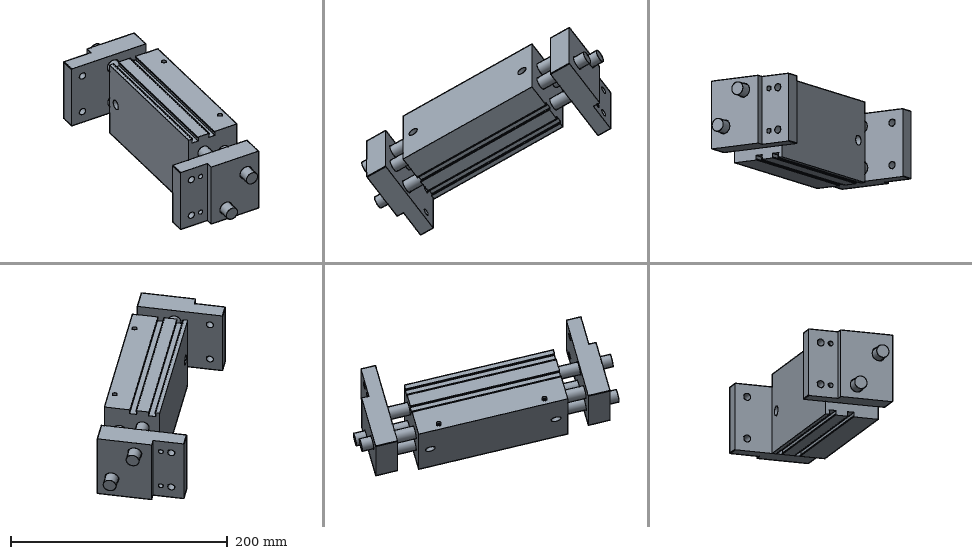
import cadquery as cq
import math

TOTAL_LENGTH = 245.0
TOTAL_DEPTH = 81.0

FULL_TURN = 360
HALF_TURN = FULL_TURN / 2

HOUSING_LENGTH = 142.3
HOUSING_DEPTH = 52.0
HOUSING_HEIGHT = 76.0
HOUSING_BACK_Y = HOUSING_DEPTH / 2
HOUSING_FRONT_Y = -HOUSING_DEPTH / 2

MOUNT_HOLE_DIAMETER = 9.0
MOUNT_HOLE_SPACING = 120.0

PORT_DIAMETER = 4.5
PORT_THREAD_DEPTH = 5.0
PORT_BORE_DIAMETER = 3.0
PORT_DEPTH = 7.4
PORT_SETBACK = 6.0
PORT_SPACING = 101.0
PORT_Y = HOUSING_BACK_Y - PORT_SETBACK

SLOT_MOUTH = 5.5
SLOT_WIDTH = 6.5
SLOT_LIP = 1.0
SLOT_DEPTH = 4.5
SLOT_OFFSETS = [7.0, 25.0]
SLOT_CENTRES_Y = [HOUSING_FRONT_Y + offset for offset in SLOT_OFFSETS]

ROD_DIAMETER = 12.0
ROD_CLEARANCE_DIAMETER = 13.0
FRONT_ROD_OFFSET = 16.0
FRONT_ROD_Y = HOUSING_FRONT_Y + FRONT_ROD_OFFSET
FRONT_ROD_Z = 19.5
BACK_ROD_OFFSET = 37.5
BACK_ROD_Y = HOUSING_FRONT_Y + BACK_ROD_OFFSET
BACK_ROD_Z = -12.5
RODS_OF_RIGHT_FINGER = [(FRONT_ROD_Y, FRONT_ROD_Z), (BACK_ROD_Y, BACK_ROD_Z)]
RODS_OF_LEFT_FINGER = [(y, -z) for y, z in RODS_OF_RIGHT_FINGER]
ALL_RODS = RODS_OF_RIGHT_FINGER + RODS_OF_LEFT_FINGER

FINGER_GAP = 19.8
FINGER_THICKNESS = 20.8
ARM_THICKNESS = 14.0
FINGER_HEIGHT = 64.0
FINGER_SETBACK = 0.7
FINGER_CHAMFER = 0.5
FINGER_INNER_X = HOUSING_LENGTH / 2 + FINGER_GAP
FINGER_OUTER_X = FINGER_INNER_X + FINGER_THICKNESS
ARM_OUTER_X = FINGER_INNER_X + ARM_THICKNESS
FINGER_BACK_Y = HOUSING_BACK_Y - FINGER_SETBACK
ARM_TIP_Y = HOUSING_BACK_Y - TOTAL_DEPTH

ARM_HOLE_SPACING = 40.0
THROUGH_HOLE_DIAMETER = 6.5
THROUGH_HOLE_OFFSET = 17.2
THROUGH_HOLE_Y = HOUSING_FRONT_Y - THROUGH_HOLE_OFFSET
TAPPED_HOLE_DIAMETER = 4.5
TAPPED_HOLE_DEPTH = 7.4
TAPPED_HOLE_OFFSET = 7.4
TAPPED_HOLE_Y = HOUSING_FRONT_Y - TAPPED_HOLE_OFFSET
DRILL_POINT_ANGLE = 118.0


def x_cylinders(diameter, start_x, end_x, points):
    """Cylinders along X, centred on the given (y, z) points."""
    sketch = cq.Workplane("YZ", origin=(start_x, 0, 0)).pushPoints(points).circle(diameter / 2)
    return sketch.extrude(end_x - start_x)


def sensor_slot(y):
    """T-slot along the top face of the housing."""
    top = HOUSING_HEIGHT / 2
    mouth = cq.Workplane("XY").box(HOUSING_LENGTH, SLOT_MOUTH, SLOT_DEPTH, centered=(True, True, False))
    pocket = cq.Workplane("XY").box(
        HOUSING_LENGTH, SLOT_WIDTH, SLOT_DEPTH - SLOT_LIP, centered=(True, True, False)
    )
    return mouth.union(pocket).translate((0, y, top - SLOT_DEPTH))


def build_housing():
    """Block with mounting holes, T-slots on top and bottom, ports and rod bores."""
    housing = cq.Workplane("XY").box(HOUSING_LENGTH, HOUSING_DEPTH, HOUSING_HEIGHT)
    mount_holes = (
        cq.Workplane("XZ")
        .rarray(MOUNT_HOLE_SPACING, 2.5, 2, 1)
        .circle(MOUNT_HOLE_DIAMETER / 2)
        .extrude(HOUSING_DEPTH / 2, both=True)
    )
    housing = housing.cut(mount_holes)
    for y in SLOT_CENTRES_Y:
        slot = sensor_slot(y)
        housing = housing.cut(slot).cut(slot.mirror("XY"))
    housing = (
        housing.faces(">Z")
        .workplane(origin=(0, PORT_Y, 0))
        .rarray(PORT_SPACING, 2.5, 2, 1)
        .cboreHole(PORT_BORE_DIAMETER, PORT_DIAMETER, PORT_THREAD_DEPTH, PORT_DEPTH)
    )
    bores = x_cylinders(ROD_DIAMETER, -HOUSING_LENGTH / 2, HOUSING_LENGTH / 2, ALL_RODS)
    return housing.cut(bores)


def tapped_holes():
    """Blind holes with a drill point, sunk into the outer face of the right arm."""
    radius = TAPPED_HOLE_DIAMETER / 2
    point_depth = radius / math.tan(math.radians(DRILL_POINT_ANGLE / 2))
    floor_x = ARM_OUTER_X - TAPPED_HOLE_DEPTH
    drill = (
        cq.Workplane("XY")
        .polyline([(ARM_OUTER_X, 0), (ARM_OUTER_X, radius), (floor_x, radius), (floor_x - point_depth, 0)])
        .close()
        .revolve(FULL_TURN, (0, 0, 0), (1, 0, 0))
    )
    upper = drill.translate((0, TAPPED_HOLE_Y, ARM_HOLE_SPACING / 2))
    return upper.union(upper.mirror("XY"))


def build_right_finger():
    """Stepped finger on the +X side, together with the two rods fixed in it."""
    finger = (
        cq.Workplane("XY", origin=(0, 0, -FINGER_HEIGHT / 2))
        .polyline([
            (FINGER_INNER_X, FINGER_BACK_Y),
            (FINGER_OUTER_X, FINGER_BACK_Y),
            (FINGER_OUTER_X, HOUSING_FRONT_Y),
            (ARM_OUTER_X, HOUSING_FRONT_Y),
            (ARM_OUTER_X, ARM_TIP_Y),
            (FINGER_INNER_X, ARM_TIP_Y),
        ])
        .close()
        .extrude(FINGER_HEIGHT)
    )
    finger = finger.faces("<Y or >Y").edges("|X").chamfer(FINGER_CHAMFER)
    hole_points = [(THROUGH_HOLE_Y, side * ARM_HOLE_SPACING / 2) for side in (-1, 1)]
    finger = finger.cut(x_cylinders(THROUGH_HOLE_DIAMETER, FINGER_INNER_X, ARM_OUTER_X, hole_points))
    finger = finger.cut(tapped_holes())
    clearance_holes = x_cylinders(ROD_CLEARANCE_DIAMETER, FINGER_INNER_X, FINGER_OUTER_X, RODS_OF_LEFT_FINGER)
    rods = x_cylinders(ROD_DIAMETER, -TOTAL_LENGTH / 2, FINGER_OUTER_X, RODS_OF_RIGHT_FINGER)
    return finger.cut(clearance_holes).union(rods)


housing = build_housing()
right_finger = build_right_finger()
left_finger = right_finger.rotate((0, 0, 0), (0, 1, 0), HALF_TURN)

result = cq.Compound.makeCompound([housing.val(), right_finger.val(), left_finger.val()])